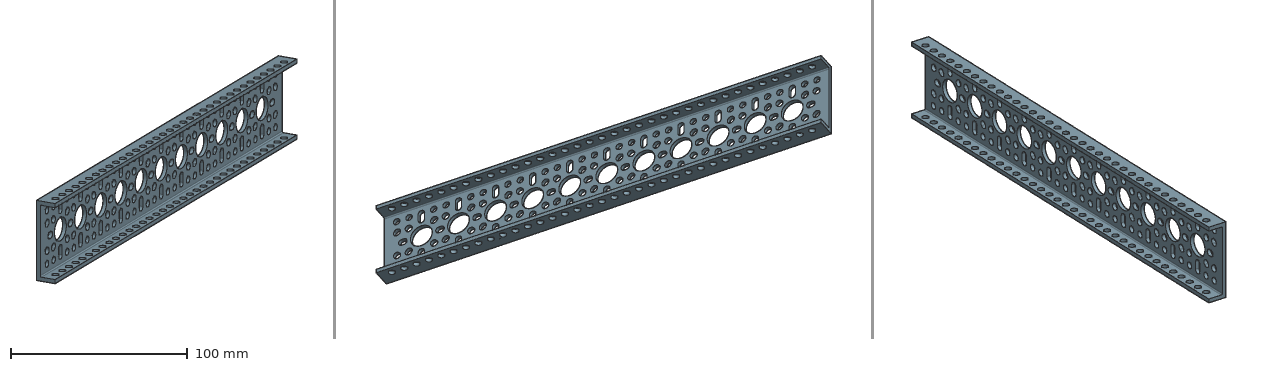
import cadquery as cq
import math

length = 288.0
grid_steps = 36
pitch = length / grid_steps
height = 6 * pitch
flange_width = 1.5 * pitch
thickness = 2.5
inner_corner_radius = 0.72

small_hole_diameter = pitch / 2
large_hole_diameter = 1.75 * pitch

module_steps = 3
module_length = module_steps * pitch
module_count = grid_steps // module_steps

ring_radius = math.sqrt(2) * pitch
diagonal_slot_end_radius = 1.5 * pitch
outer_row_z = 2 * pitch

grid_y = [step * pitch - length / 2 for step in range(1, grid_steps)]
plain_y = [y for step, y in enumerate(grid_y, start=1) if step % module_steps]
large_hole_y = [i * module_length - length / 2 for i in range(1, module_count)]
module_center_y = [(i + 0.5) * module_length - length / 2 for i in range(module_count)]


def make_channel():
    """U channel along Y: web on the -X side, flanges reaching toward +X."""
    outer = cq.Workplane("XY").box(flange_width, length, height, centered=(False, True, True))
    cavity = (
        cq.Workplane("XY")
        .box(flange_width, length, height - 2 * thickness, centered=(False, True, True))
        .edges("|Y and <X")
        .fillet(inner_corner_radius)
        .translate((thickness, 0, 0))
    )
    return outer.cut(cavity)


def web_holes(diameter, points):
    """Round cutters through the web at (Y, Z) points."""
    return cq.Workplane("YZ").pushPoints(points).circle(diameter / 2).extrude(thickness)


def web_slots(center_distance, angle, points):
    """Slot cutters through the web; center_distance separates the centres of the two round ends."""
    slot_length = center_distance + small_hole_diameter
    return (
        cq.Workplane("YZ")
        .pushPoints(points)
        .slot2D(slot_length, small_hole_diameter, angle)
        .extrude(thickness)
    )


def vertical_slots():
    """Slots above and below each large hole, reaching to the outer rows."""
    center_z = (ring_radius + outer_row_z) / 2
    points = [(y, side * center_z) for y in large_hole_y for side in (-1, 1)]
    return web_slots(outer_row_z - ring_radius, 90, points)


def link_slots():
    """Slots along Y midway between neighbouring large holes."""
    points = [(y, 0) for y in module_center_y]
    return web_slots(module_length - 2 * ring_radius, 0, points)


def diagonal_slots(slope):
    """Short 45 degree slots around the large holes; slope is +1 or -1, the sign of Z over Y."""
    center_offset = (ring_radius + diagonal_slot_end_radius) / 2 / math.sqrt(2)
    from_module_center = module_length / 2 - center_offset
    points = [
        (y - side * slope * from_module_center, side * center_offset)
        for y in module_center_y
        for side in (-1, 1)
    ]
    return web_slots(diagonal_slot_end_radius - ring_radius, slope * 45, points)


def flange_holes():
    """One row of holes passing through both flanges."""
    return (
        cq.Workplane("XY", origin=(0, 0, -height / 2))
        .pushPoints([(pitch, y) for y in grid_y])
        .circle(small_hole_diameter / 2)
        .extrude(height)
    )


result = (
    make_channel()
    .cut(web_holes(large_hole_diameter, [(y, 0) for y in large_hole_y]))
    .cut(web_holes(small_hole_diameter, [(y, side * outer_row_z) for y in plain_y for side in (-1, 1)]))
    .cut(vertical_slots())
    .cut(link_slots())
    .cut(diagonal_slots(1))
    .cut(diagonal_slots(-1))
    .cut(flange_holes())
)